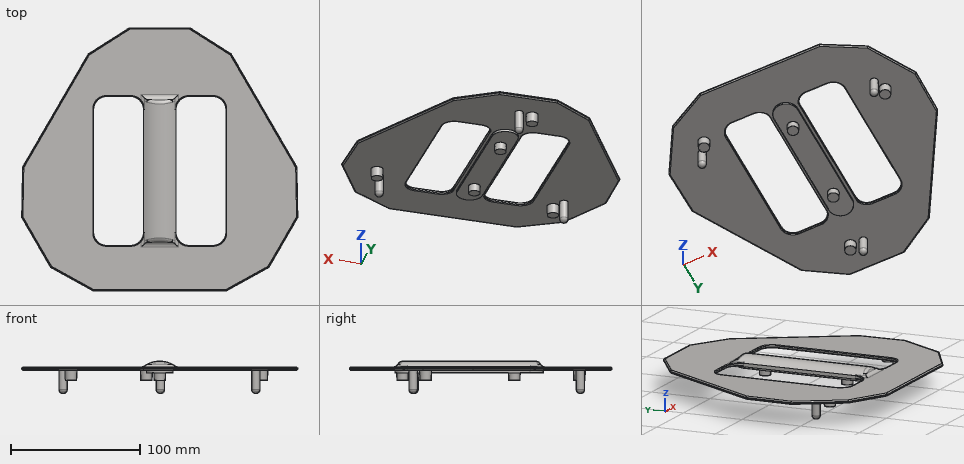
import cadquery as cq
import math

plate_half_width = 107.01
plate_length = 203.67
plate_top_y = 110.8
plate_bottom_y = plate_top_y - plate_length
plate_thickness = 2.6
rim_chamfer = 1.0
right_corners = [
    (23.6, plate_top_y),
    (55.4, 90.6),
    (106.3, 3.0),
    (plate_half_width, -36.0),
    (84.6, -74.7),
    (51.7, plate_bottom_y),
]

bar_width = 25.2
slot_outer_x = 51.2
slot_length = 115.4
slot_radius = 10.0
slot_chamfer = 0.7
slot_width = slot_outer_x - bar_width / 2
slot_center_x = (slot_outer_x + bar_width / 2) / 2

dome_height = 4.54
dome_radius = 20.6
dome_half_length = 56.7
end_slope = 55.0
crest_radius = 3.2
foot_radius = 4.5
flare_start_y = slot_length / 2 - slot_radius
dome_bury = 1.0

rib_width = 20.6
rib_length = 115.0
rib_depth = 4.5

fixing_count = 3
fixing_step = 360 / fixing_count
boss_depth = 10.4
boss_tip_diameter = 8.8
boss_draft = 2.5
boss_circle_radius = 86.0
boss_start_angle = 96.9
bar_boss_y = 35.0
pin_diameter = 6.6
pin_circle_radius = 86.2
pin_start_angle = 89.7
overall_height = 25.23
pin_depth = overall_height - dome_height


def polar(radius, angle):
    """Point at a radius and an angle in degrees."""
    return (radius * math.cos(math.radians(angle)), radius * math.sin(math.radians(angle)))


def slot_prism(growth, bottom, height):
    """Both slots as solids, with the outline grown outwards on every side."""
    return (
        cq.Workplane("XY", origin=(0, 0, bottom))
        .pushPoints([(-slot_center_x, 0), (slot_center_x, 0)])
        .rect(slot_width + 2 * growth, slot_length + 2 * growth)
        .extrude(height)
        .edges("|Z")
        .fillet(slot_radius + growth)
    )


def make_plate():
    """Chamfered plate with two slots."""
    left_corners = [(-x, y) for x, y in reversed(right_corners)]
    outline = right_corners + left_corners
    blank = cq.Workplane("XY").polyline(outline).close().extrude(-plate_thickness)
    plate = blank.faces("<Z or >Z").chamfer(rim_chamfer)
    slotted = plate.cut(slot_prism(0, -plate_thickness, plate_thickness))
    opening = cq.selectors.BoxSelector(
        (-slot_outer_x - slot_chamfer, -slot_length / 2 - slot_chamfer, -plate_thickness - slot_chamfer),
        (slot_outer_x + slot_chamfer, slot_length / 2 + slot_chamfer, slot_chamfer),
    )
    return slotted.edges(opening).edges("not |Z").chamfer(slot_chamfer)


def make_dome():
    """Segment of a cylinder along Y with sloping, rounded ends."""
    bury_run = dome_bury / math.tan(math.radians(end_slope))
    top_run = dome_height / math.tan(math.radians(end_slope))
    buried_half_length = dome_half_length + bury_run
    crest_half_length = dome_half_length - top_run
    body = (
        cq.Workplane("XZ", origin=(0, buried_half_length, 0))
        .center(0, dome_height - dome_radius)
        .circle(dome_radius)
        .extrude(2 * buried_half_length)
    )
    envelope = (
        cq.Workplane("YZ", origin=(-dome_radius, 0, 0))
        .polyline(
            [
                (-buried_half_length, -dome_bury),
                (buried_half_length, -dome_bury),
                (crest_half_length, dome_height),
                (-crest_half_length, dome_height),
            ]
        )
        .close()
        .extrude(2 * dome_radius)
    )
    return body.intersect(envelope).edges("%ELLIPSE").fillet(crest_radius)


def make_flare():
    """Hollow-sided foot with mitred corners that blends the dome into the plate."""
    slope = math.radians(end_slope)
    end_foot_y = dome_half_length + foot_radius * math.tan(slope / 2)
    arc_center_gap = dome_radius + foot_radius
    side_foot_x = math.sqrt(arc_center_gap**2 - (arc_center_gap - dome_height) ** 2)
    side_turn = math.asin(side_foot_x / arc_center_gap)

    def foot_arc(foot_edge, turn):
        """Point on a fillet rising inwards from the foot edge, after a turn from the plate."""
        return (foot_edge - foot_radius * math.sin(turn), foot_radius * (1 - math.cos(turn)))

    def mirrored(point):
        return (-point[0], point[1])

    def flared_section(plane, start, length, foot_edge, turn, domed):
        """Section resting on the plate with a hollow flare on each side, then extruded."""
        middle = foot_arc(foot_edge, turn / 2)
        upper = foot_arc(foot_edge, turn)
        section = (
            cq.Workplane(plane, origin=start)
            .moveTo(-foot_edge, 0)
            .threePointArc(mirrored(middle), mirrored(upper))
        )
        if domed:
            section = section.threePointArc((0, dome_height), upper)
        else:
            section = section.lineTo(*upper)
        return section.threePointArc(middle, (foot_edge, 0)).close().extrude(length)

    crossways = flared_section("XZ", (0, end_foot_y, 0), 2 * end_foot_y, side_foot_x, side_turn, True)
    lengthways = flared_section("YZ", (-side_foot_x, 0, 0), 2 * side_foot_x, end_foot_y, slope, False)
    return crossways.intersect(lengthways)


def make_bar():
    """Domed bar with flared ends, its straight-sided base and the rib beneath it."""
    dome = make_dome()
    middle = cq.Workplane("XY").box(slot_outer_x, 2 * flare_start_y, 2 * dome_height)
    beside_bar = slot_prism(slot_chamfer, 0, dome_height).union(
        slot_prism(0, -plate_thickness, plate_thickness)
    )
    beside_bar = beside_bar.cut(cq.Workplane("XY").box(bar_width, 2 * slot_length, 2 * dome_height))
    flared_ends = make_flare().cut(middle)
    base = cq.Workplane("XY").rect(bar_width, slot_length).extrude(-plate_thickness)
    rib = cq.Workplane("XY").slot2D(rib_length, rib_width, 90).extrude(-rib_depth)
    return base.union(dome).union(flared_ends).cut(beside_bar).union(rib)


def make_boss(x, y):
    """Boss that narrows downwards from the plate to its flat tip."""
    height = boss_depth - plate_thickness / 2
    return (
        cq.Workplane("XY", origin=(x, y, -boss_depth))
        .circle(boss_tip_diameter / 2)
        .extrude(height, taper=-boss_draft)
    )


def make_pin(x, y):
    """Pin with a hemispherical nose."""
    radius = pin_diameter / 2
    shank_depth = pin_depth - radius
    height = shank_depth - plate_thickness / 2
    shank = cq.Workplane("XY", origin=(x, y, -shank_depth)).circle(radius).extrude(height)
    nose = cq.Workplane("XY", origin=(x, y, -shank_depth)).sphere(radius)
    return shank.union(nose)


result = make_plate().union(make_bar())

for i in range(fixing_count):
    result = result.union(make_boss(*polar(boss_circle_radius, boss_start_angle + i * fixing_step)))
    result = result.union(make_pin(*polar(pin_circle_radius, pin_start_angle + i * fixing_step)))

for side in (-1, 1):
    result = result.union(make_boss(0, side * bar_boss_y))